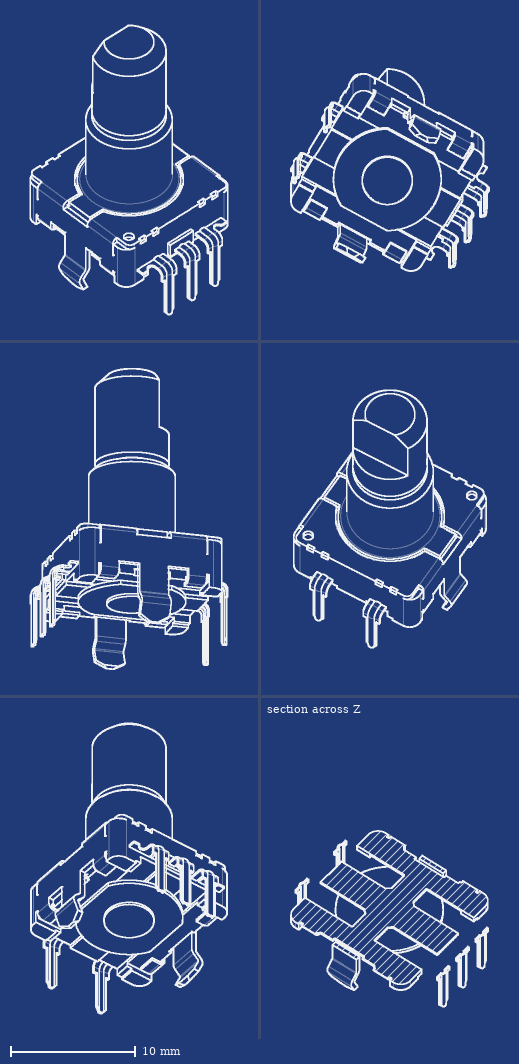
import cadquery as cq
import math


COS_45 = math.sqrt(0.5)
TOTAL_HEIGHT = 23

HOUSING_X = 12.0
HOUSING_Y = 11.75
HOUSING_TOP = 4.5
HOUSING_CORNER_R = 1.0
HALF_X = HOUSING_X / 2
HALF_Y = HOUSING_Y / 2

SHEET = 0.44
PLATE_CORNER_R = 0.53
FLAP_HALF_X = 4.48
PLATE_BOTTOM = HOUSING_TOP - SHEET
PLATE_HALF_Y = HALF_Y - SHEET
FLAP_GAP = 0.07
FLAP_GAP_BOTTOM = 2.85
FLANGE_R = 4.19
OPENING_R = 4.4
STRIP_WIDTH = 2.45
STRIP_SLOT_WIDTH = 2.88
STRIP_NOTCH_BOTTOM = 3.86
COVER_HOLE_D = 0.83
COVER_HOLE_X = 5.05
COVER_HOLE_Y = 4.65
EDGE_NOTCH_WIDTH = 0.6
EDGE_NOTCH_DEPTH = 0.23
EDGE_NOTCH_YS = (2.55, 3.9)

FOOT_INNER_X = 4.67
FOOT_INNER_Y = 3.86
CORE_BOTTOM = 0.58
FLAP_RELIEF_TOP = 1.08
FLAP_WINDOW_TOP = 1.43
FLAP_WINDOW_HALF_X = 2.95
WALL_BOTTOM = 0.23
TERMINAL_NOTCH_TOP = 0.87
TERMINAL_NOTCH_INNER_Y = 1.38
TERMINAL_NOTCH_OUTER_Y = 3.38
CORE_POCKET_WIDTH = 3.04
CORE_POCKET_DEPTH = 0.23
TERMINAL_NOTCH_INNER_X = 1.15
BASE_R = 4.35
BASE_FLAT_WIDTH = 4.32
HUB_R = 2.02

TAB_OUTER_X = 4.46
TAB_BEND_R = 0.53
TAB_BOTTOM = 0.35
TAB_INNER_Y = 4.6
TAB_LEDGE_INNER_X = 2.8
TAB_LEDGE_THICKNESS = 0.23
TAB_LEDGE_OUTER_Y = 5.61

TIP_Z = -3.5
LEG_KINK_Z = -1.0
LEG_APEX_Y = 6.65
LEG_RETURN_ANGLE = 23
LEG_BEND_R = 0.12
LEG_TIP_SHOULDER_Z = -2.97
LEG_TIP_WIDTH = 0.6

BUSHING_R = 3.5
BUSHING_HEIGHT = 7.0
BUSHING_CHAMFER = 0.48
BUSHING_FILLET = 0.5
NECK_R = 1.75
NECK_HEIGHT = 0.5
SHAFT_R = 6.0 / 2
SHAFT_TOP = TIP_Z + TOTAL_HEIGHT
SHAFT_CHAMFER = 1.0
FLAT_X = -1.5
FLAT_LENGTH = 5.0

LEFT_TERMINAL_X = 7.22
RIGHT_TERMINAL_X = 7.73
TERMINAL_PITCH = 2.5
TERMINAL_SHEET = 0.15
BEAD_HEIGHT = 0.14
BEAD_WIDTH = 0.6
TERMINAL_MID_Z = 1.5
TERMINAL_BEND_R = 0.6
TERMINAL_WIDTH = 1.52
PIN_WIDTH = 0.92
PIN_SHOULDER_Z = 0.37
PIN_TIP_WIDTH = 0.37
PIN_TIP_LENGTH = 0.37
TERMINAL_EMBED = 0.7

STOP_X = 0.3
STOP_Y = 2.53
STOP_BOTTOM = 1.05
STOP_TOP = 2.3
EAR_X = 0.65
EAR_OUTER_Y = 4.58
EAR_NOTCH_R = 0.35
EAR_NOTCH_Y = 3.63


def block(x0, x1, y0, y1, z0, z1):
    """Axis-aligned box between two opposite corners."""
    return cq.Workplane("XY").box(x1 - x0, y1 - y0, z1 - z0, centered=False).translate((x0, y0, z0))


def mirrored_y(solid):
    """A solid together with its mirror image across the XZ plane."""
    return solid.union(solid.mirror("XZ"))


def mirrored_xy(solid):
    """A solid repeated in all four quadrants."""
    both_sides = solid.union(solid.mirror("YZ"))
    return mirrored_y(both_sides)


def make_body():
    """Rounded block whose top layer is the cover plate with its folded long edges."""
    body = cq.Workplane("XY").rect(HOUSING_X, HOUSING_Y).extrude(PLATE_BOTTOM)
    body = body.edges("|Z").fillet(HOUSING_CORNER_R)
    plate = cq.Workplane("XY").workplane(offset=PLATE_BOTTOM).rect(HOUSING_X, 2 * PLATE_HALF_Y)
    plate = plate.extrude(SHEET).edges("|Z").fillet(PLATE_CORNER_R)
    fold = block(-FLAP_HALF_X, FLAP_HALF_X, -HALF_Y, HALF_Y, FLAP_GAP_BOTTOM, HOUSING_TOP)
    fold = fold.edges("|X and >Z").fillet(SHEET)
    return body.union(plate).union(fold)


def make_cover_cuts():
    """Groove around the bushing flange and its strip, corner holes, edge notches and flap gaps."""
    top = cq.Workplane("XY").workplane(offset=PLATE_BOTTOM)
    opening = top.circle(OPENING_R).extrude(SHEET)
    opening = opening.union(top.rect(STRIP_SLOT_WIDTH, HOUSING_Y).extrude(SHEET))
    island = top.circle(FLANGE_R).extrude(SHEET)
    island = island.union(top.rect(STRIP_WIDTH, HOUSING_Y).extrude(SHEET))
    cuts = opening.cut(island)

    strip_notch = block(-STRIP_SLOT_WIDTH / 2, STRIP_SLOT_WIDTH / 2, PLATE_HALF_Y, HALF_Y,
                        STRIP_NOTCH_BOTTOM, HOUSING_TOP)
    cuts = cuts.union(mirrored_y(strip_notch))

    hole_places = [(-COVER_HOLE_X, COVER_HOLE_Y), (COVER_HOLE_X, -COVER_HOLE_Y)]
    cuts = cuts.union(top.pushPoints(hole_places).circle(COVER_HOLE_D / 2).extrude(SHEET))

    for y in EDGE_NOTCH_YS:
        notch = block(HALF_X - EDGE_NOTCH_DEPTH, HALF_X, y - EDGE_NOTCH_WIDTH / 2,
                      y + EDGE_NOTCH_WIDTH / 2, PLATE_BOTTOM, HOUSING_TOP)
        cuts = cuts.union(mirrored_xy(notch))

    gap = block(FLAP_HALF_X, FLAP_HALF_X + FLAP_GAP, PLATE_HALF_Y, HALF_Y, FLAP_GAP_BOTTOM, HOUSING_TOP)
    return cuts.union(mirrored_xy(gap))


def make_underside_cuts():
    """Clearances below the core, under the flaps and along the terminal walls."""
    cuts = block(-FOOT_INNER_X, FOOT_INNER_X, -HALF_Y, HALF_Y, 0, CORE_BOTTOM)
    relief = block(-FOOT_INNER_X, FOOT_INNER_X, PLATE_HALF_Y, HALF_Y, 0, FLAP_RELIEF_TOP)
    window = block(-FLAP_WINDOW_HALF_X, FLAP_WINDOW_HALF_X, PLATE_HALF_Y, HALF_Y, 0, FLAP_WINDOW_TOP)
    pocket = block(-CORE_POCKET_WIDTH / 2, CORE_POCKET_WIDTH / 2, PLATE_HALF_Y - CORE_POCKET_DEPTH,
                   PLATE_HALF_Y, CORE_BOTTOM, FLAP_RELIEF_TOP)
    cuts = cuts.union(mirrored_y(relief.union(window).union(pocket)))

    foot_gap = block(FOOT_INNER_X, HALF_X, 0, FOOT_INNER_Y, 0, WALL_BOTTOM)
    wall_gap = block(FOOT_INNER_X, HALF_X, 0, TERMINAL_NOTCH_OUTER_Y, 0, CORE_BOTTOM)
    notch = block(TERMINAL_NOTCH_INNER_X, HALF_X, TERMINAL_NOTCH_INNER_Y, TERMINAL_NOTCH_OUTER_Y,
                  0, TERMINAL_NOTCH_TOP)
    return cuts.union(mirrored_xy(foot_gap.union(wall_gap).union(notch)))


def make_base():
    """Round bottom disc with two flats, and a hub that reaches the seating plane."""
    flat_y = math.sqrt(BASE_R**2 - (BASE_FLAT_WIDTH / 2) ** 2)
    thickness = CORE_BOTTOM - WALL_BOTTOM
    disc = cq.Workplane("XY").workplane(offset=WALL_BOTTOM).circle(BASE_R).extrude(thickness)
    disc = disc.intersect(block(-BASE_R, BASE_R, -flat_y, flat_y, WALL_BOTTOM, CORE_BOTTOM))
    return disc.union(cq.Workplane("XY").circle(HUB_R).extrude(TERMINAL_NOTCH_TOP))


def make_tabs():
    """Four flap ends that curl under the base, each with a thin ledge behind the curl."""
    bend_z = TAB_BOTTOM + TAB_BEND_R
    bend_y = HALF_Y - TAB_BEND_R
    diagonal = TAB_BEND_R * COS_45
    tab = (
        cq.Workplane("YZ")
        .workplane(offset=FLAP_WINDOW_HALF_X)
        .moveTo(TAB_INNER_Y, TAB_BOTTOM)
        .lineTo(bend_y, TAB_BOTTOM)
        .threePointArc((bend_y + diagonal, bend_z - diagonal), (HALF_Y, bend_z))
        .lineTo(HALF_Y, FLAP_RELIEF_TOP)
        .lineTo(TAB_INNER_Y, FLAP_RELIEF_TOP)
        .close()
        .extrude(TAB_OUTER_X - FLAP_WINDOW_HALF_X)
    )
    ledge = block(TAB_LEDGE_INNER_X, FOOT_INNER_X, TAB_INNER_Y, TAB_LEDGE_OUTER_Y,
                  CORE_BOTTOM, CORE_BOTTOM + TAB_LEDGE_THICKNESS)
    return mirrored_xy(tab.union(ledge))


def unit_direction(start, end):
    """Unit vector from one (y, z) point to another."""
    length = math.dist(start, end)
    return ((end[0] - start[0]) / length, (end[1] - start[1]) / length)


def inner_corner(before, corner, after):
    """Corner of the sheet's inner wall, one sheet thickness inside an outer-wall corner, going down."""
    y1, z1 = unit_direction(before, corner)
    y2, z2 = unit_direction(corner, after)
    scale = SHEET / (1 + y1 * y2 + z1 * z2)
    return (corner[0] + scale * (z1 + z2), corner[1] - scale * (y1 + y2))


def make_legs():
    """Two snap-in legs: bent outward at 45 degrees, returning inward to a tapered tip."""
    return_angle = math.radians(LEG_RETURN_ANGLE)
    top = (HALF_Y, FLAP_WINDOW_TOP)
    kink = (HALF_Y, LEG_KINK_Z)
    apex = (LEG_APEX_Y, LEG_KINK_Z - (LEG_APEX_Y - HALF_Y))
    tip = (LEG_APEX_Y - (apex[1] - TIP_Z) * math.tan(return_angle), TIP_Z)
    inner_tip = (tip[0] - SHEET * math.cos(return_angle), TIP_Z + SHEET * math.sin(return_angle))
    inner_apex = inner_corner(kink, apex, tip)
    inner_kink = inner_corner(top, kink, apex)
    profile = (
        cq.Workplane("YZ")
        .workplane(offset=-STRIP_WIDTH / 2)
        .polyline([top, kink, apex, tip, inner_tip, inner_apex, inner_kink, (PLATE_HALF_Y, FLAP_WINDOW_TOP)])
        .close()
        .extrude(STRIP_WIDTH)
    )
    bends = [
        (kink, LEG_BEND_R),
        (inner_kink, LEG_BEND_R + SHEET),
        (apex, LEG_BEND_R + SHEET),
        (inner_apex, LEG_BEND_R),
    ]
    for (y, z), radius in bends:
        profile = profile.edges(cq.NearestToPointSelector((0, y, z))).fillet(radius)
    outline = (
        cq.Workplane("XZ")
        .polyline([
            (-STRIP_WIDTH / 2, FLAP_WINDOW_TOP),
            (STRIP_WIDTH / 2, FLAP_WINDOW_TOP),
            (STRIP_WIDTH / 2, LEG_TIP_SHOULDER_Z),
            (LEG_TIP_WIDTH / 2, TIP_Z),
            (-LEG_TIP_WIDTH / 2, TIP_Z),
            (-STRIP_WIDTH / 2, LEG_TIP_SHOULDER_Z),
        ])
        .close()
        .extrude(HOUSING_Y, both=True)
    )
    return mirrored_y(profile.intersect(outline))


def make_bushing_and_shaft():
    """Turned bushing, neck and chamfered shaft, with a flat milled on the -X side of the shaft."""
    fillet_inset = BUSHING_FILLET * (1 - COS_45)
    bushing_top = HOUSING_TOP + BUSHING_HEIGHT
    shaft_bottom = bushing_top + NECK_HEIGHT
    turned = (
        cq.Workplane("XZ")
        .moveTo(0, PLATE_BOTTOM)
        .lineTo(BUSHING_R + BUSHING_FILLET, PLATE_BOTTOM)
        .lineTo(BUSHING_R + BUSHING_FILLET, HOUSING_TOP)
        .threePointArc((BUSHING_R + fillet_inset, HOUSING_TOP + fillet_inset),
                       (BUSHING_R, HOUSING_TOP + BUSHING_FILLET))
        .lineTo(BUSHING_R, bushing_top - BUSHING_CHAMFER)
        .lineTo(BUSHING_R - BUSHING_CHAMFER, bushing_top)
        .lineTo(NECK_R, bushing_top)
        .lineTo(NECK_R, shaft_bottom)
        .lineTo(SHAFT_R, shaft_bottom)
        .lineTo(SHAFT_R, SHAFT_TOP - SHAFT_CHAMFER)
        .lineTo(SHAFT_R - SHAFT_CHAMFER, SHAFT_TOP)
        .lineTo(0, SHAFT_TOP)
        .close()
        .revolve(360, (0, 0, 0), (0, 1, 0))
    )
    flat = block(-SHAFT_R, FLAT_X, -SHAFT_R, SHAFT_R, SHAFT_TOP - FLAT_LENGTH, SHAFT_TOP)
    return turned.cut(flat)


def make_terminal(outer_x):
    """Strip with a pressed bead leaving the +X wall, bent down into a tapered pin ending at outer_x."""
    mid_x = outer_x - BEAD_HEIGHT
    start_x = HALF_X - TERMINAL_EMBED
    bend_x = mid_x - TERMINAL_BEND_R
    bend_z = TERMINAL_MID_Z - TERMINAL_BEND_R
    diagonal = TERMINAL_BEND_R * COS_45
    bead_r = (BEAD_HEIGHT**2 + (BEAD_WIDTH / 2) ** 2) / (2 * BEAD_HEIGHT)
    groove_r = bead_r - TERMINAL_SHEET
    groove_half_width = math.sqrt(groove_r**2 - (groove_r - BEAD_HEIGHT) ** 2)
    path = (
        cq.Workplane("XZ")
        .moveTo(start_x, TERMINAL_MID_Z)
        .lineTo(bend_x, TERMINAL_MID_Z)
        .threePointArc((bend_x + diagonal, bend_z + diagonal), (mid_x, bend_z))
        .lineTo(mid_x, TIP_Z)
    )
    section = (
        cq.Workplane("YZ", origin=(start_x, 0, TERMINAL_MID_Z))
        .moveTo(-TERMINAL_WIDTH / 2, -TERMINAL_SHEET)
        .lineTo(-groove_half_width, -TERMINAL_SHEET)
        .threePointArc((0, BEAD_HEIGHT - TERMINAL_SHEET), (groove_half_width, -TERMINAL_SHEET))
        .lineTo(TERMINAL_WIDTH / 2, -TERMINAL_SHEET)
        .lineTo(TERMINAL_WIDTH / 2, 0)
        .lineTo(BEAD_WIDTH / 2, 0)
        .threePointArc((0, BEAD_HEIGHT), (-BEAD_WIDTH / 2, 0))
        .lineTo(-TERMINAL_WIDTH / 2, 0)
        .close()
    )
    strip = section.sweep(path)
    half_outline = [
        (TERMINAL_WIDTH / 2, HOUSING_TOP),
        (TERMINAL_WIDTH / 2, PIN_SHOULDER_Z),
        (PIN_WIDTH / 2, PIN_SHOULDER_Z),
        (PIN_WIDTH / 2, TIP_Z + PIN_TIP_LENGTH),
        (PIN_TIP_WIDTH / 2, TIP_Z),
    ]
    other_half = [(-y, z) for y, z in reversed(half_outline)]
    outline = cq.Workplane("YZ").polyline(half_outline + other_half).close().extrude(HOUSING_X)
    return strip.intersect(outline)


def make_terminals():
    """Three terminals on the +X side and two on the -X side."""
    right = make_terminal(RIGHT_TERMINAL_X)
    left = make_terminal(LEFT_TERMINAL_X).mirror("YZ")
    outer_left = left.translate((0, TERMINAL_PITCH, 0))
    outer_right = right.translate((0, TERMINAL_PITCH, 0))
    return right.union(mirrored_y(outer_left.union(outer_right)))


def make_wall_extras():
    """Stop block and two notched ears on the +X wall."""
    stop = block(HALF_X - TERMINAL_EMBED, HALF_X + STOP_X, -STOP_Y / 2, STOP_Y / 2, STOP_BOTTOM, STOP_TOP)
    ear_bottom = TERMINAL_MID_Z - TERMINAL_SHEET
    ear = block(HALF_X - TERMINAL_EMBED, HALF_X + EAR_X, TERMINAL_PITCH, EAR_OUTER_Y,
                ear_bottom, TERMINAL_MID_Z)
    notch = (
        cq.Workplane("XY", origin=(HALF_X + EAR_X, EAR_NOTCH_Y, ear_bottom))
        .circle(EAR_NOTCH_R)
        .extrude(TERMINAL_SHEET)
    )
    return stop.union(mirrored_y(ear.cut(notch)))


result = make_body().cut(make_cover_cuts()).cut(make_underside_cuts())
for feature in (make_base(), make_tabs(), make_legs(), make_bushing_and_shaft(),
                make_terminals(), make_wall_extras()):
    result = result.union(feature)